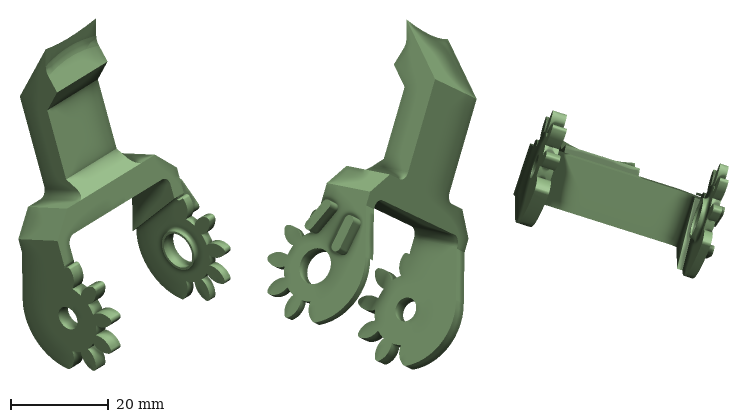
import cadquery as cq
import math


lean = math.radians(19)
head_bend = math.radians(26.4)
arm_width = 16.05
arm_thickness = 6.8
fork_width = 38.0
fork_thickness = 11.0
back_face = -8.0
elbow_height = 44.3
shoulder_height = 22.3
ramp_rise = 3.8
crossbar_depth = 5.55
shoulder_chamfer = 5.0
corner_radius = 2.0
head_stock = 26.1

leg_thickness = 3.0
thin_leg_thickness = 1.8
back_bend_height = 14.35
front_end_height = 11.7
pivot_diameter = 5.0

tip_radius = 12.1
root_radius = 7.5
tooth_pitch = 36
tooth_angles = [tooth_pitch * step for step in (-2.5, -1.5, -0.5, 0.5, 1.5, 2.5)]
tooth_base_radius = 7.2
tooth_bulge_radius = 9.65
tooth_end_radius = 11.8
tooth_base_half = 1.05
tooth_bulge_half = 1.55
tooth_end_half = 0.6

bore_diameter = 7.6
collar_diameter = 8.6
collar_fillet = 0.8

saddle_radius = 52.2
saddle_bottom_x = -15.7
saddle_corner = (-11.9, 43.8)
saddle_slope = math.radians(52)
saddle_fillet = 3.25

peg_length = 3.0
pegs = [
    ((-9.9, 7.4), (-6.9, 2.35), 1.1),
    ((-4.5, 11.7), (-0.4, 7.95), 1.05),
]

margin = 32.65
half_fork = fork_width / 2
half_arm = arm_width / 2
front_face = back_face + fork_thickness
arm_front = back_face + arm_thickness


def place(across, along):
    """Turn arm coordinates into X and Z."""
    return (
        across * math.cos(lean) - along * math.sin(lean),
        across * math.sin(lean) + along * math.cos(lean),
    )


def polar(radius, degrees):
    angle = math.radians(degrees)
    return (radius * math.cos(angle), radius * math.sin(angle))


def plate(start_y, end_y):
    """XZ sketch plane at start_y, with the distance that extrudes it to end_y."""
    return cq.Workplane("XZ", origin=(0, start_y, 0)), start_y - end_y


def cylinder(diameter, start_y, end_y):
    plane, depth = plate(start_y, end_y)
    return plane.circle(diameter / 2).extrude(depth)


def tooth(angle):
    """Leaf-shaped tooth with bulging flanks and a rounded tip."""
    plane, depth = plate(half_fork, -half_fork)
    return (
        plane.moveTo(tooth_base_radius, -tooth_base_half)
        .threePointArc((tooth_bulge_radius, -tooth_bulge_half), (tooth_end_radius, -tooth_end_half))
        .threePointArc((tip_radius, 0), (tooth_end_radius, tooth_end_half))
        .threePointArc((tooth_bulge_radius, tooth_bulge_half), (tooth_base_radius, tooth_base_half))
        .lineTo(0, 0)
        .close()
        .extrude(depth)
        .rotate((0, 0, 0), (0, 1, 0), -angle)
    )


def side_profile():
    """Side silhouette of the arm, fork and geared legs, over the full fork width."""
    elbow_outer = place(back_face, elbow_height)
    mitre = arm_thickness * math.tan((lean + head_bend) / 2)
    elbow_inner = place(arm_front, elbow_height - mitre)
    head_reach = (head_stock * math.sin(head_bend), head_stock * math.cos(head_bend))
    head_outer = (elbow_outer[0] + head_reach[0], elbow_outer[1] + head_reach[1])
    head_inner = (elbow_inner[0] + head_reach[0], elbow_inner[1] + head_reach[1])
    plane, depth = plate(half_fork, -half_fork)
    body = (
        plane.moveTo(-tip_radius, 0)
        .lineTo(*place(back_face, back_bend_height))
        .lineTo(*elbow_outer)
        .lineTo(*head_outer)
        .lineTo(*head_inner)
        .lineTo(*elbow_inner)
        .lineTo(*place(arm_front, shoulder_height + ramp_rise))
        .lineTo(*place(front_face, shoulder_height))
        .lineTo(*place(front_face, front_end_height))
        .lineTo(0, 0)
        .lineTo(0, -tip_radius)
        .threePointArc(polar(tip_radius, 225), (-tip_radius, 0))
        .close()
        .extrude(depth)
    )
    body = body.union(cylinder(2 * root_radius, half_fork, -half_fork))
    for angle in tooth_angles:
        body = body.union(tooth(angle))
    return body


def fork_outline():
    """Outline of the arm on its two-legged fork, extruded through the arm thickness."""
    plane = cq.Workplane(
        cq.Plane(origin=(0, 0, 0), xDir=(0, 1, 0), normal=(math.cos(lean), 0, math.sin(lean)))
    )
    half_gap = half_fork - leg_thickness
    crossbar_bottom = shoulder_height - crossbar_depth
    right_half = [
        (half_arm, elbow_height + margin),
        (half_arm, shoulder_height),
        (half_fork - shoulder_chamfer, shoulder_height),
        (half_fork, shoulder_height - shoulder_chamfer),
        (half_fork, -margin),
        (half_gap, -margin),
        (half_gap, crossbar_bottom),
    ]
    left_half = [(-y, along) for y, along in reversed(right_half)]
    outline = plane.polyline(right_half + left_half).close().extrude(margin, both=True)
    inner_corners = [
        (side * y, along)
        for side in (-1, 1)
        for y, along in ((half_arm, shoulder_height), (half_gap, crossbar_bottom))
    ]
    for y, along in inner_corners:
        x, z = place(0, along)
        corner_edge = cq.selectors.NearestToPointSelector((x, y, z))
        outline = outline.edges(corner_edge).fillet(corner_radius)
    return outline


def saddle_cutter():
    """Upright cylinder cut off by a slope, with the bottom edge rounded."""
    cutter = (
        cq.Workplane("XY")
        .center(saddle_bottom_x + saddle_radius, 0)
        .circle(saddle_radius)
        .extrude(3 * margin)
    )
    corner_x, corner_z = saddle_corner
    reach = 4 * margin
    rise = reach * math.tan(saddle_slope)
    plane, depth = plate(2 * margin, -2 * margin)
    below_slope = (
        plane.moveTo(corner_x - reach, corner_z + rise)
        .lineTo(corner_x + reach, corner_z - rise)
        .lineTo(corner_x - reach, corner_z - rise)
        .close()
        .extrude(depth)
    )
    cutter = cutter.cut(below_slope)
    bottom_point = cq.selectors.NearestToPointSelector(
        (saddle_bottom_x, 0, corner_z + (corner_x - saddle_bottom_x) * math.tan(saddle_slope))
    )
    return cutter.edges(bottom_point).fillet(saddle_fillet)


def thin_leg_relief():
    """Space that thins the +Y leg below the line from its back bend to the gear, around the collar."""
    inner_y = half_fork - leg_thickness
    step_y = half_fork - thin_leg_thickness
    front_end = place(front_face, front_end_height)
    plane, depth = plate(step_y, inner_y)
    relief = (
        plane.moveTo(-tip_radius, 0)
        .lineTo(*front_end)
        .lineTo(margin, front_end[1])
        .lineTo(margin, -margin)
        .lineTo(-tip_radius, -margin)
        .close()
        .extrude(depth)
    )
    rim_radius = collar_diameter / 2
    fillet_mid = collar_fillet * (1 - math.sqrt(0.5))
    collar = (
        cq.Workplane("XY")
        .moveTo(0, inner_y)
        .lineTo(rim_radius, inner_y)
        .lineTo(rim_radius, step_y - collar_fillet)
        .threePointArc((rim_radius + fillet_mid, step_y - fillet_mid), (rim_radius + collar_fillet, step_y))
        .lineTo(0, step_y)
        .close()
        .revolve(360, (0, 0, 0), (0, 1, 0))
    )
    return relief.cut(collar)


def peg(upper, lower, radius):
    """Straight slot-shaped peg with round ends."""
    run = lower[0] - upper[0]
    rise = lower[1] - upper[1]
    centre = ((upper[0] + lower[0]) / 2, (upper[1] + lower[1]) / 2)
    plane, depth = plate(half_fork, half_fork + peg_length)
    return (
        plane.center(*centre)
        .slot2D(math.hypot(run, rise) + 2 * radius, 2 * radius, math.degrees(math.atan2(rise, run)))
        .extrude(depth)
    )


result = side_profile().intersect(fork_outline())
result = result.cut(saddle_cutter())
result = result.cut(thin_leg_relief())
result = result.cut(cylinder(pivot_diameter, 0, -half_fork))
result = result.cut(cylinder(bore_diameter, 0, half_fork))
for upper_end, lower_end, peg_radius in pegs:
    result = result.union(peg(upper_end, lower_end, peg_radius))